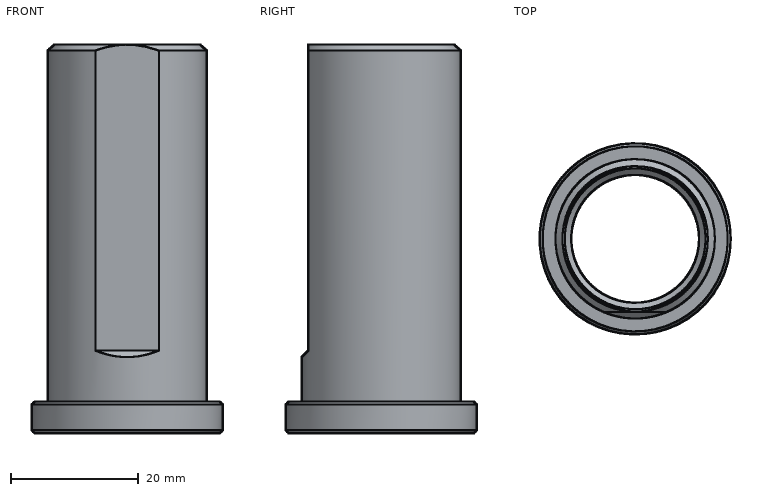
import cadquery as cq

total_height = 61.0
flange_diameter = 30.0
flange_height = 5.0
flange_chamfer = 0.5
body_diameter = 25.0
bore_diameter = 20.0

tip_chamfer_height = 1.0
tip_chamfer_width = 1.1
bore_chamfer = 1.05

flat_depth = 1.05
flat_bottom = 13.0


def make_flange():
    disc = cq.Workplane("XY").circle(flange_diameter / 2).extrude(flange_height)
    return disc.edges().chamfer(flange_chamfer)


def make_body():
    """Revolved cylinder with a tapered free end."""
    radius = body_diameter / 2
    return (
        cq.Workplane("XZ")
        .lineTo(radius, 0)
        .lineTo(radius, total_height - tip_chamfer_height)
        .lineTo(radius - tip_chamfer_width, total_height)
        .lineTo(0, total_height)
        .close()
        .revolve(360, (0, 0, 0), (0, 1, 0))
    )


def make_flat_cutter():
    """Side profile in YZ, swept across the whole body width."""
    outer_y = -body_diameter / 2
    flat_y = outer_y + flat_depth
    return (
        cq.Workplane("YZ")
        .moveTo(flat_y, total_height)
        .lineTo(flat_y, flat_bottom)
        .lineTo(outer_y, flat_bottom - flat_depth)
        .lineTo(outer_y, total_height)
        .close()
        .extrude(body_diameter / 2, both=True)
    )


def make_bore():
    """Through bore with a small countersink at the free end."""
    radius = bore_diameter / 2
    return (
        cq.Workplane("XZ")
        .lineTo(radius, 0)
        .lineTo(radius, total_height - bore_chamfer)
        .lineTo(radius + bore_chamfer, total_height)
        .lineTo(0, total_height)
        .close()
        .revolve(360, (0, 0, 0), (0, 1, 0))
    )


body = make_body().cut(make_flat_cutter())
result = make_flange().union(body).cut(make_bore())